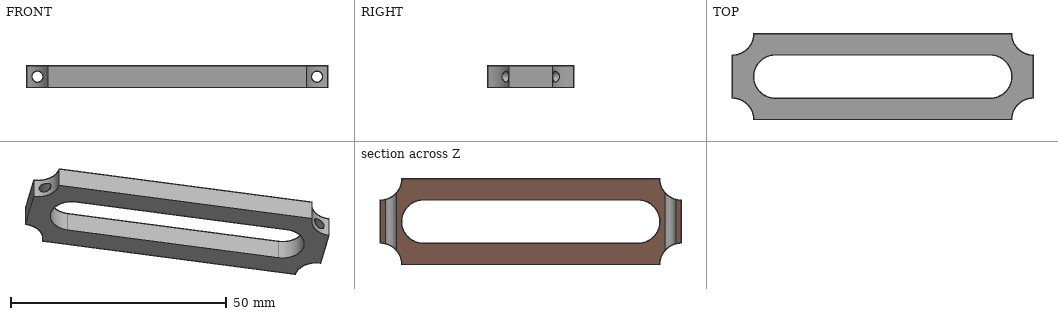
import cadquery as cq

length = 70.0
width = 20.0
thickness = 5.1
corner_radius = width / 4
frame_wall = width / 4
pin_hole_diameter = 2.5

slot_length = length - 2 * frame_wall
slot_width = width - 2 * frame_wall
pin_hole_x = (length - corner_radius) / 2


def frame_plate():
    """Flat bar, centred on the origin."""
    return cq.Workplane("XY").box(length, width, thickness)


def corner_scallops():
    """Upright cylinders that hollow out the four corners."""
    return (
        cq.Workplane("XY", origin=(0, 0, -thickness / 2))
        .rect(length, width, forConstruction=True)
        .vertices()
        .circle(corner_radius)
        .extrude(thickness)
    )


def center_slot():
    """Round-ended opening through the thickness."""
    return (
        cq.Workplane("XY", origin=(0, 0, -thickness / 2))
        .slot2D(slot_length, slot_width)
        .extrude(thickness)
    )


def pin_holes():
    """Cross holes along Y, one through each end of the bar."""
    return (
        cq.Workplane("XZ", origin=(0, width / 2, 0))
        .pushPoints([(-pin_hole_x, 0), (pin_hole_x, 0)])
        .circle(pin_hole_diameter / 2)
        .extrude(width)
    )


result = frame_plate().cut(corner_scallops()).cut(center_slot()).cut(pin_holes())